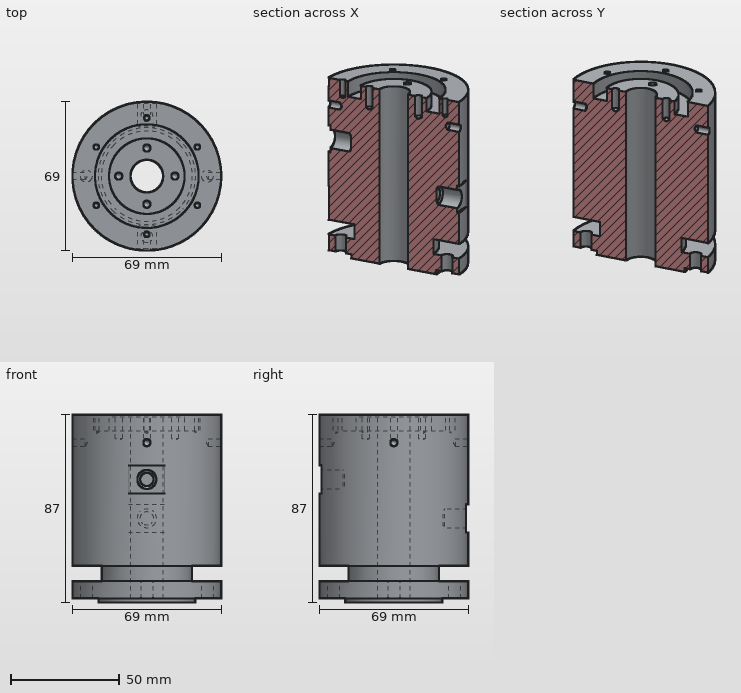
import cadquery as cq
import math

BODY_DIAMETER = 69.0
BODY_RADIUS = BODY_DIAMETER / 2
SPIGOT_DIAMETER = 45.0
SPIGOT_HEIGHT = 2.0
FLANGE_THICKNESS = 8.0
NECK_DIAMETER = 42.0
NECK_HEIGHT = 7.0
BODY_HEIGHT = 70.0
FLANGE_TOP = SPIGOT_HEIGHT + FLANGE_THICKNESS
BODY_BOTTOM = FLANGE_TOP + NECK_HEIGHT
BODY_TOP = BODY_BOTTOM + BODY_HEIGHT

RECESS_DIAMETER = 48.0
RECESS_DEPTH = 7.5
HUB_DIAMETER = 35.0
HUB_DROP = 1.0
HUB_TOP = BODY_TOP - HUB_DROP
BORE_DIAMETER = 15.0

DRILL_POINT_ANGLE = 118.0
HUB_HOLE_DIAMETER = 3.3
HUB_HOLE_DEPTH = 10.0
HUB_HOLE_CIRCLE_RADIUS = 13.0
HUB_HOLE_COUNT = 4
RIM_HOLE_DIAMETER = 2.5
RIM_HOLE_DEPTH = 8.0
RIM_HOLE_CIRCLE_RADIUS = 27.0
RIM_HOLE_COUNT = 6
SIDE_HOLE_DIAMETER = 3.3
SIDE_HOLE_DEPTH = 6.0
SIDE_HOLE_HEIGHT = BODY_TOP - 13.0
SIDE_HOLE_COUNT = 4

FLANGE_HOLE_DIAMETER = 5.5
FLANGE_HOLE_CIRCLE_RADIUS = 28.0
FLANGE_HOLE_COUNT = 4

FLAT_DEPTH = 1.0
FLAT_HEIGHT = 13.0
PORT_DIAMETER = 8.8
PORT_DEPTH = 10.0
PORT_END_DIAMETER = 6.2
FRONT_PORT_HEIGHT = BODY_TOP - 30.0
REAR_PORT_HEIGHT = BODY_TOP - 48.0
FRONT_ANGLE = -90.0
REAR_ANGLE = 90.0


def disc(diameter, bottom, top):
    """Vertical cylinder about the part axis between two levels."""
    return cq.Workplane("XY").workplane(offset=bottom).circle(diameter / 2).extrude(top - bottom)


def around(shape, angle):
    """Turn a shape about the part axis."""
    return shape.rotate((0, 0, 0), (0, 0, 1), angle)


def drill(diameter, depth, end_diameter=0.0):
    """Drill pointing down from the origin; its point is cut off at end_diameter."""
    radius = diameter / 2
    end_radius = end_diameter / 2
    point_length = (radius - end_radius) / math.tan(math.radians(DRILL_POINT_ANGLE / 2))
    profile = cq.Workplane("XZ").lineTo(radius, 0).lineTo(radius, -depth)
    profile = profile.lineTo(end_radius, -depth - point_length)
    if end_radius > 0:
        profile = profile.lineTo(0, -depth - point_length)
    return profile.close().revolve(360, (0, 0, 0), (0, 1, 0))


def aim_inward(tool, radius, height):
    """Turn a downward tool to enter along -X at the given radius and height."""
    return tool.rotate((0, 0, 0), (0, 1, 0), 90).translate((radius, 0, height))


def cut_ring(part, tool, count):
    """Cut copies of a tool placed on the +X side, evenly spaced around the axis."""
    for index in range(count):
        part = part.cut(around(tool, index * 360 / count))
    return part


def make_body():
    spigot = disc(SPIGOT_DIAMETER, 0, SPIGOT_HEIGHT)
    flange = disc(BODY_DIAMETER, SPIGOT_HEIGHT, FLANGE_TOP)
    neck = disc(NECK_DIAMETER, FLANGE_TOP, BODY_BOTTOM)
    housing = disc(BODY_DIAMETER, BODY_BOTTOM, BODY_TOP)
    recess_floor = BODY_TOP - RECESS_DEPTH
    recess = disc(RECESS_DIAMETER, recess_floor, BODY_TOP)
    hub = disc(HUB_DIAMETER, recess_floor, HUB_TOP)
    bore = disc(BORE_DIAMETER, 0, BODY_TOP)
    return spigot.union(flange).union(neck).union(housing).cut(recess).union(hub).cut(bore)


def cut_top_holes(part):
    hub_hole = drill(HUB_HOLE_DIAMETER, HUB_HOLE_DEPTH).translate((HUB_HOLE_CIRCLE_RADIUS, 0, HUB_TOP))
    rim_hole = drill(RIM_HOLE_DIAMETER, RIM_HOLE_DEPTH).translate((RIM_HOLE_CIRCLE_RADIUS, 0, BODY_TOP))
    part = cut_ring(part, hub_hole, HUB_HOLE_COUNT)
    return cut_ring(part, around(rim_hole, REAR_ANGLE), RIM_HOLE_COUNT)


def cut_side_holes(part):
    hole = aim_inward(drill(SIDE_HOLE_DIAMETER, SIDE_HOLE_DEPTH), BODY_RADIUS, SIDE_HOLE_HEIGHT)
    return cut_ring(part, hole, SIDE_HOLE_COUNT)


def cut_flange_holes(part):
    hole = disc(FLANGE_HOLE_DIAMETER, 0, FLANGE_TOP).translate((FLANGE_HOLE_CIRCLE_RADIUS, 0, 0))
    return cut_ring(part, hole, FLANGE_HOLE_COUNT)


def cut_port(part, angle, height):
    flat_radius = BODY_RADIUS - FLAT_DEPTH
    flat = cq.Workplane("XY").box(FLAT_DEPTH, BODY_DIAMETER, FLAT_HEIGHT)
    flat = flat.translate((flat_radius + FLAT_DEPTH / 2, 0, height))
    hole = aim_inward(drill(PORT_DIAMETER, PORT_DEPTH, PORT_END_DIAMETER), flat_radius, height)
    return part.cut(around(flat, angle)).cut(around(hole, angle))


result = make_body()
result = cut_top_holes(result)
result = cut_side_holes(result)
result = cut_flange_holes(result)
result = cut_port(result, FRONT_ANGLE, FRONT_PORT_HEIGHT)
result = cut_port(result, REAR_ANGLE, REAR_PORT_HEIGHT)